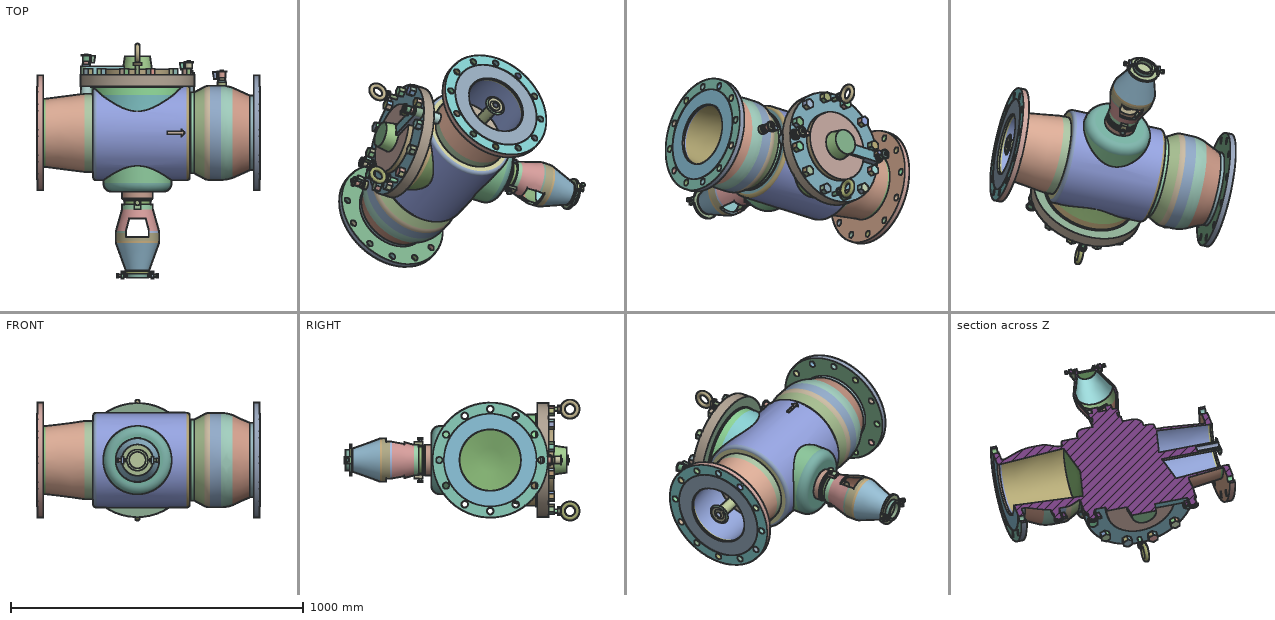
import cadquery as cq
import math


INLET_FACE_X = -344.0
OUTLET_FACE_X = 419.0
FLANGE_RADIUS = 197.0
FLANGE_THICKNESS = 22.0
RAISED_FACE_RADIUS = 158.5
RAISED_FACE_HEIGHT = 2.0
BOLT_CIRCLE_RADIUS = 175.0
FLANGE_HOLE_DIAMETER = 22.0
FLANGE_HOLE_COUNT = 12
INLET_FLANGE_BACK_X = INLET_FACE_X + FLANGE_THICKNESS
OUTLET_FLANGE_BACK_X = OUTLET_FACE_X - FLANGE_THICKNESS

INLET_NECK_RADIUS = 234.0 / 2
INLET_NECK_LENGTH = 8.0
INLET_PIPE_RADIUS = 134.5
INLET_CONE_END_X = -180.0

BODY_RADIUS = 162.5
BODY_START_X = -152.0
BODY_END_X = 179.5
BODY_EDGE_ROUND = 11.0

OUTLET_NECK_RADIUS = 139.0
OUTLET_NECK_START_X = 183.0
OUTLET_NECK_END_X = 195.0
OUTLET_SEAM_RADIUS = 138.0
BULGE_RADIUS = 162.0
BULGE_CONE_END = (229.0, 158.0)
BULGE_FLAT_START_X = 249.0
BULGE_FLAT_END_X = 286.0
BULGE_TAIL_START = (326.0, 154.5)
OUTLET_HUB_RADIUS = 128.0
OUTLET_HUB_START_X = 385.0

BORE_RADIUS = 105.0
BORE_DEPTH = 14.5
BORE_RECESS_RADIUS = 105.5
BORE_RECESS_DEPTH = 7.0
BORE_END_RADIUS = 122.0
DISH_DEPTH = 24.0
CORE_TUBE_RADIUS = 37.0 / 2
CORE_DISC_RADIUS = 35.5
CORE_DISC_FACE_RADIUS = 29.0
CORE_DISC_THICKNESS = 4.0
CORE_SETBACK = 3.0
CORE_HOLE_DIAMETER = 19.0
CORE_HOLE_DEPTH = 80.5

ARROW_TAIL_X = 102.0
ARROW_NECK_X = 150.0
ARROW_TIP_X = 162.5
ARROW_SHAFT_HALF_WIDTH = 5.0
ARROW_HEAD_HALF_WIDTH = 13.0
ARROW_HEIGHT = 2.0

COVER_RADIUS = 195.5
COVER_BOTTOM_Y = 160.0
COVER_TOP_Y = 200.0
GASKET_RADIUS = 159.0
GASKET_THICKNESS = 5.0
COVER_NECK_RADIUS = 157.0
COVER_CONE_TOP_Y = 129.0
COVER_CONE_RADIUS = 145.0
COVER_CONE_BOTTOM_Y = 74.0
COVER_PAD_RADIUS = 121.0
COVER_PAD_TOP_Y = 218.0
HUB_BASE_RADIUS = 50.0
HUB_TOP_RADIUS = 43.5
HUB_TOP_Y = 262.0
RIB_TOP_Y = 228.5
COVER_BOLT_CIRCLE_RADIUS = 174.25
COVER_BOLT_COUNT = 12
NUT_ACROSS_FLATS = 30.0
NUT_HEIGHT = 20.0

EYE_RING_Y = 273.0
EYE_WIRE_DIAMETER = 16.0
EYE_RING_RADIUS = 25.0
EYE_SHANK_DIAMETER = 14.0
EYE_COLLAR_DIAMETER = 28.0
EYE_COLLAR_BOTTOM_Y = 231.0
EYE_COLLAR_THICKNESS = 8.0

PORT_POST_X = 175.5
PORT_POST_RADIUS = 37.0 / 2
OUTLET_PORT_X = 289.0
OUTLET_PORT_BASE_Y = 173.0
OUTLET_PORT_BOSS_RADIUS = 15.0
COVER_PORT_BASE_Y = 205.0
PORT_COLLAR_RADIUS = 14.0
PORT_COLLAR_TOP = 6.5
PORT_NECK_RADIUS = 22.0 / 2
PORT_NECK_TOP = 16.0
PORT_BODY_RADIUS = 25.0 / 2
PORT_BODY_TOP = 35.5
PORT_CAP_RADIUS = 16.0
PORT_CAP_TOP = 38.0
PORT_BUTTON_RADIUS = 10.0 / 2
PORT_HEIGHT = 41.0
TAG_REACH = 31.0
TAG_FOOT_REACH = 27.0
TAG_BOTTOM = 10.5
TAG_GAP_INNER = 16.0
TAG_THICKNESS = 14.0

DRAIN_CAP_RADIUS = 234.0 / 2
DRAIN_CAP_BOTTOM_Y = -202.0
DRAIN_CAP_ROUND = 30.0
DRAIN_PIPE_RADIUS = 53.0
DRAIN_GROOVE_RADIUS = 45.0
DRAIN_PIPE_CHAMFER = 2.5
DRAIN_PIPE_CHAMFER_Y = -223.0
DRAIN_PIPE_END_Y = -227.0
DRAIN_LIP_RADIUS = 47.0
DRAIN_GROOVE_TOP_Y = -232.0
DRAIN_GROOVE_BOTTOM_Y = -245.0
DRAIN_COLLAR_BOTTOM_Y = -261.5
FUNNEL_RADIUS = 74.0
FUNNEL_WIDE_TOP_Y = -336.0
FUNNEL_WIDE_BOTTOM_Y = -377.5
FUNNEL_BAND_RADIUS = 75.0
FUNNEL_BAND_TOP_Y = -342.0
FUNNEL_BAND_BOTTOM_Y = -369.5
FUNNEL_TIP_RADIUS = 40.0
FUNNEL_TIP_Y = -471.0
END_PLATE_RADIUS = 53.5
END_PLATE_TOP_Y = -474.0
END_PLATE_BOTTOM_Y = -481.0
SPOUT_RADIUS = 36.0
SPOUT_BORE_RADIUS = 28.0
SPOUT_BOTTOM_Y = -496.0
SPOUT_FLOOR_Y = -480.0
FUNNEL_WALL = 8.0
FUNNEL_ROOF_Y = -270.0
INNER_TUBE_RADIUS = 36.0
INNER_TUBE_BORE_RADIUS = 13.0
INNER_TUBE_BOTTOM_Y = -291.0

WINDOW_TOP_Y = -294.0
WINDOW_SLOPE_END_Y = -334.0
WINDOW_BOTTOM_Y = -356.0
WINDOW_TOP_HALF_WIDTH = 28.0
WINDOW_BOTTOM_HALF_WIDTH = 39.0

LUG_WIDTH = 23.0
SCREW_DIAMETER = 10.0
SCREW_HEAD_LENGTH = 6.0
UPPER_LUG_OUTER = 63.5
UPPER_LUG_THICKNESS = 13.0
UPPER_LUG_TOP_Y = -230.0
UPPER_LUG_BOTTOM_Y = -261.0
UPPER_SCREW_Y = -239.0
UPPER_SCREW_END = 76.0
UPPER_SCREW_HEAD_DIAMETER = 18.0
LOWER_LUG_OUTER = 55.5
LOWER_LUG_THICKNESS = 8.0
LOWER_LUG_BOTTOM_Y = -499.0
LOWER_SCREW_Y = -488.5
LOWER_SCREW_END = 71.0
LOWER_SCREW_HEAD_DIAMETER = 14.0
LOWER_SCREW_TIP = 42.0


def cylinder_y(radius, bottom_y, top_y, x=0, z=0):
    """Cylinder along Y between two heights."""
    base = cq.Plane(origin=(x, bottom_y, z), xDir=(1, 0, 0), normal=(0, 1, 0))
    return cq.Workplane(base).circle(radius).extrude(top_y - bottom_y)


def turned_y(points):
    """Solid turned about the Y axis from (radius, y) points."""
    return cq.Workplane("XY").polyline(points).close().revolve(360, (0, 0, 0), (0, 1, 0))


def turned_x(points):
    """Solid turned about the X axis from (x, radius) points."""
    return cq.Workplane("XY").polyline(points).close().revolve(360, (0, 0, 0), (1, 0, 0))


def block(x_range, y_range, z_range):
    """Box between two limits along each axis."""
    sizes = [high - low for low, high in (x_range, y_range, z_range)]
    corner = (x_range[0], y_range[0], z_range[0])
    return cq.Workplane("XY").box(*sizes, centered=False).translate(corner)


def main_pipe():
    inlet = turned_x([
        (INLET_FLANGE_BACK_X, 0),
        (INLET_FLANGE_BACK_X, INLET_NECK_RADIUS),
        (INLET_FLANGE_BACK_X + INLET_NECK_LENGTH, INLET_NECK_RADIUS),
        (INLET_CONE_END_X, INLET_PIPE_RADIUS),
        (BODY_START_X, INLET_PIPE_RADIUS),
        (BODY_START_X, 0),
    ])
    body = (
        cq.Workplane("YZ", origin=(BODY_START_X, 0, 0))
        .circle(BODY_RADIUS)
        .extrude(BODY_END_X - BODY_START_X)
        .edges()
        .fillet(BODY_EDGE_ROUND)
    )
    outlet = (
        cq.Workplane("XY")
        .moveTo(BODY_END_X, 0)
        .lineTo(BODY_END_X, OUTLET_SEAM_RADIUS)
        .lineTo(OUTLET_NECK_START_X, OUTLET_SEAM_RADIUS)
        .lineTo(OUTLET_NECK_START_X, OUTLET_NECK_RADIUS)
        .lineTo(OUTLET_NECK_END_X, OUTLET_NECK_RADIUS)
        .lineTo(*BULGE_CONE_END)
        .tangentArcPoint((BULGE_FLAT_START_X, BULGE_RADIUS), relative=False)
        .lineTo(BULGE_FLAT_END_X, BULGE_RADIUS)
        .tangentArcPoint(BULGE_TAIL_START, relative=False)
        .lineTo(OUTLET_HUB_START_X, OUTLET_HUB_RADIUS)
        .lineTo(OUTLET_FLANGE_BACK_X, OUTLET_HUB_RADIUS)
        .lineTo(OUTLET_FLANGE_BACK_X, 0)
        .close()
        .revolve(360, (0, 0, 0), (1, 0, 0))
    )
    inlet_flange = pipe_flange(INLET_FACE_X, 1)
    outlet_flange = pipe_flange(OUTLET_FACE_X, -1)
    return inlet.union(body).union(outlet).union(inlet_flange).union(outlet_flange)


def pipe_flange(face_x, inward):
    """Drilled flange with a raised face; inward is the X sign that leads into the pipe."""
    rim_x = face_x + inward * RAISED_FACE_HEIGHT
    back_x = face_x + inward * FLANGE_THICKNESS
    disc = turned_x([
        (face_x, 0),
        (face_x, RAISED_FACE_RADIUS),
        (rim_x, RAISED_FACE_RADIUS),
        (rim_x, FLANGE_RADIUS),
        (back_x, FLANGE_RADIUS),
        (back_x, 0),
    ])
    holes = (
        cq.Workplane("YZ", origin=(face_x, 0, 0))
        .polarArray(BOLT_CIRCLE_RADIUS, 0, 360, FLANGE_HOLE_COUNT)
        .circle(FLANGE_HOLE_DIAMETER / 2)
        .extrude(inward * FLANGE_THICKNESS)
    )
    return disc.cut(holes)


def pipe_bore(face_x, inward, end_x):
    """Bore that widens inside the flange and ends at a dished wall in the body."""
    widening_x = face_x + inward * BORE_DEPTH
    recess_x = face_x + inward * BORE_RECESS_DEPTH
    return turned_x([
        (face_x, 0),
        (face_x, BORE_RECESS_RADIUS),
        (recess_x, BORE_RECESS_RADIUS),
        (recess_x, BORE_RADIUS),
        (widening_x, BORE_RADIUS),
        (end_x, BORE_END_RADIUS),
        (end_x + inward * DISH_DEPTH, 0),
    ])


def filter_core():
    """Tube on the inlet axis that carries a chamfered disc with a centre hole."""
    front_x = INLET_FACE_X + CORE_SETBACK
    disc_back_x = front_x + CORE_DISC_THICKNESS
    tube_end_x = BODY_START_X + DISH_DEPTH + 8
    core = turned_x([
        (front_x, 0),
        (front_x, CORE_DISC_FACE_RADIUS),
        (disc_back_x, CORE_DISC_RADIUS),
        (disc_back_x, CORE_TUBE_RADIUS),
        (tube_end_x, CORE_TUBE_RADIUS),
        (tube_end_x, 0),
    ])
    return core.faces("<X").workplane().hole(CORE_HOLE_DIAMETER, CORE_HOLE_DEPTH)


def flow_arrow():
    half_outline = [
        (ARROW_TAIL_X, ARROW_SHAFT_HALF_WIDTH),
        (ARROW_NECK_X, ARROW_SHAFT_HALF_WIDTH),
        (ARROW_NECK_X, ARROW_HEAD_HALF_WIDTH),
    ]
    mirrored = [(x, -y) for x, y in reversed(half_outline)]
    outline = half_outline + [(ARROW_TIP_X, 0)] + mirrored
    embed = 4.0
    plane = cq.Workplane("XY", origin=(0, 0, BODY_RADIUS - embed))
    return plane.polyline(outline).close().extrude(embed + ARROW_HEIGHT)


def cover():
    gasket_y = COVER_BOTTOM_Y - GASKET_THICKNESS
    solid = turned_y([
        (0, 0),
        (COVER_CONE_RADIUS, 0),
        (COVER_CONE_RADIUS, COVER_CONE_BOTTOM_Y),
        (COVER_NECK_RADIUS, COVER_CONE_TOP_Y),
        (COVER_NECK_RADIUS, gasket_y),
        (GASKET_RADIUS, gasket_y),
        (GASKET_RADIUS, COVER_BOTTOM_Y),
        (COVER_RADIUS, COVER_BOTTOM_Y),
        (COVER_RADIUS, COVER_TOP_Y),
        (0, COVER_TOP_Y),
    ])
    pad = cylinder_y(COVER_PAD_RADIUS, COVER_TOP_Y, COVER_PAD_TOP_Y)
    hub = turned_y([
        (0, COVER_TOP_Y),
        (HUB_BASE_RADIUS, COVER_TOP_Y),
        (HUB_BASE_RADIUS, COVER_PAD_TOP_Y),
        (HUB_TOP_RADIUS, HUB_TOP_Y),
        (0, HUB_TOP_Y),
    ])
    rib = block((-PORT_POST_X, 0), (COVER_TOP_Y, RIB_TOP_Y), (-PORT_POST_RADIUS, PORT_POST_RADIUS))
    inlet_post = cylinder_y(PORT_POST_RADIUS, 0, RIB_TOP_Y, x=-PORT_POST_X)
    outlet_post = cylinder_y(PORT_POST_RADIUS, 0, COVER_PORT_BASE_Y, x=PORT_POST_X)
    solid = solid.union(pad).union(hub)
    return solid.union(rib).union(inlet_post).union(outlet_post).union(cover_nuts())


def cover_nuts():
    nuts = cq.Workplane("XY")
    corner_diameter = NUT_ACROSS_FLATS / math.cos(math.pi / 6)
    pitch = 2 * math.pi / COVER_BOLT_COUNT
    for index in range(COVER_BOLT_COUNT):
        angle = (index + 0.5) * pitch
        x = COVER_BOLT_CIRCLE_RADIUS * math.cos(angle)
        z = COVER_BOLT_CIRCLE_RADIUS * math.sin(angle)
        seat = cq.Plane(origin=(x, COVER_TOP_Y, z), xDir=(0, 0, 1), normal=(0, 1, 0))
        nuts = nuts.union(cq.Workplane(seat).polygon(6, corner_diameter).extrude(NUT_HEIGHT))
    return nuts


def eye_bolt(z):
    collar_top_y = EYE_COLLAR_BOTTOM_Y + EYE_COLLAR_THICKNESS
    ring_bottom_y = EYE_RING_Y - EYE_RING_RADIUS
    collar = cylinder_y(EYE_COLLAR_DIAMETER / 2, EYE_COLLAR_BOTTOM_Y, collar_top_y, z=z)
    shank = cylinder_y(EYE_SHANK_DIAMETER / 2, COVER_TOP_Y, ring_bottom_y, z=z)
    ring = cq.Workplane(
        cq.Solid.makeTorus(EYE_RING_RADIUS, EYE_WIRE_DIAMETER / 2, cq.Vector(0, EYE_RING_Y, z), cq.Vector(1, 0, 0))
    )
    return shank.union(collar).union(ring)


def measuring_port(x, base_y, tag_side):
    """Plug with a capped body and a tag that hangs on the given X side."""
    plug = turned_y([
        (0, 0),
        (PORT_COLLAR_RADIUS, 0),
        (PORT_COLLAR_RADIUS, PORT_COLLAR_TOP),
        (PORT_NECK_RADIUS, PORT_COLLAR_TOP),
        (PORT_NECK_RADIUS, PORT_NECK_TOP),
        (PORT_BODY_RADIUS, PORT_NECK_TOP),
        (PORT_BODY_RADIUS, PORT_BODY_TOP),
        (PORT_CAP_RADIUS, PORT_BODY_TOP),
        (PORT_CAP_RADIUS, PORT_CAP_TOP),
        (PORT_BUTTON_RADIUS, PORT_CAP_TOP),
        (PORT_BUTTON_RADIUS, PORT_HEIGHT),
        (0, PORT_HEIGHT),
    ])
    tag = (
        cq.Workplane("XY")
        .polyline([
            (0, TAG_BOTTOM),
            (tag_side * TAG_FOOT_REACH, TAG_BOTTOM),
            (tag_side * TAG_REACH, PORT_BODY_TOP),
            (tag_side * TAG_GAP_INNER, PORT_BODY_TOP),
            (tag_side * TAG_GAP_INNER, PORT_NECK_TOP),
            (0, PORT_NECK_TOP),
        ])
        .close()
        .extrude(TAG_THICKNESS / 2, both=True)
    )
    return plug.union(tag).translate((x, base_y, 0))


def drain():
    cap = cylinder_y(DRAIN_CAP_RADIUS, DRAIN_CAP_BOTTOM_Y, 0).faces("<Y").edges().fillet(DRAIN_CAP_ROUND)
    outlet = turned_y([
        (0, DRAIN_CAP_BOTTOM_Y + 8),
        (DRAIN_PIPE_RADIUS, DRAIN_CAP_BOTTOM_Y + 8),
        (DRAIN_PIPE_RADIUS, DRAIN_PIPE_CHAMFER_Y),
        (DRAIN_PIPE_RADIUS - DRAIN_PIPE_CHAMFER, DRAIN_PIPE_END_Y),
        (DRAIN_LIP_RADIUS, DRAIN_PIPE_END_Y),
        (DRAIN_LIP_RADIUS, DRAIN_GROOVE_TOP_Y),
        (DRAIN_GROOVE_RADIUS, DRAIN_GROOVE_TOP_Y),
        (DRAIN_GROOVE_RADIUS, DRAIN_GROOVE_BOTTOM_Y),
        (DRAIN_PIPE_RADIUS, DRAIN_GROOVE_BOTTOM_Y),
        (DRAIN_PIPE_RADIUS, DRAIN_COLLAR_BOTTOM_Y),
        (FUNNEL_RADIUS, FUNNEL_WIDE_TOP_Y),
        (FUNNEL_BAND_RADIUS, FUNNEL_BAND_TOP_Y),
        (FUNNEL_BAND_RADIUS, FUNNEL_BAND_BOTTOM_Y),
        (FUNNEL_RADIUS, FUNNEL_WIDE_BOTTOM_Y),
        (FUNNEL_TIP_RADIUS, FUNNEL_TIP_Y),
        (FUNNEL_TIP_RADIUS, END_PLATE_TOP_Y),
        (END_PLATE_RADIUS, END_PLATE_TOP_Y),
        (END_PLATE_RADIUS, END_PLATE_BOTTOM_Y),
        (SPOUT_RADIUS, END_PLATE_BOTTOM_Y),
        (SPOUT_RADIUS, SPOUT_BOTTOM_Y),
        (0, SPOUT_BOTTOM_Y),
    ])
    spout_bore = cylinder_y(SPOUT_BORE_RADIUS, SPOUT_BOTTOM_Y, SPOUT_FLOOR_Y)
    outlet = outlet.cut(drain_cavity()).cut(drain_windows()).cut(spout_bore)
    return cap.union(outlet)


def drain_cavity():
    """Hollow of the discharge funnel around the short tube that hangs from its roof."""
    slope = (FUNNEL_RADIUS - DRAIN_PIPE_RADIUS) / (DRAIN_COLLAR_BOTTOM_Y - FUNNEL_WIDE_TOP_Y)
    roof_radius = DRAIN_PIPE_RADIUS + slope * (DRAIN_COLLAR_BOTTOM_Y - FUNNEL_ROOF_Y) - FUNNEL_WALL
    hollow = turned_y([
        (0, FUNNEL_ROOF_Y),
        (roof_radius, FUNNEL_ROOF_Y),
        (FUNNEL_RADIUS - FUNNEL_WALL, FUNNEL_WIDE_TOP_Y),
        (FUNNEL_RADIUS - FUNNEL_WALL, FUNNEL_WIDE_BOTTOM_Y),
        (FUNNEL_TIP_RADIUS - FUNNEL_WALL, FUNNEL_TIP_Y),
        (0, FUNNEL_TIP_Y),
    ])
    tube = cylinder_y(INNER_TUBE_RADIUS, INNER_TUBE_BOTTOM_Y, FUNNEL_ROOF_Y)
    tube_bore = cylinder_y(INNER_TUBE_BORE_RADIUS, INNER_TUBE_BOTTOM_Y, FUNNEL_ROOF_Y)
    return hollow.cut(tube).union(tube_bore)


def drain_windows():
    """Opening through both Z sides of the discharge funnel."""
    outline = [
        (WINDOW_TOP_HALF_WIDTH, WINDOW_TOP_Y),
        (WINDOW_BOTTOM_HALF_WIDTH, WINDOW_SLOPE_END_Y),
        (WINDOW_BOTTOM_HALF_WIDTH, WINDOW_BOTTOM_Y),
    ]
    outline += [(-x, y) for x, y in reversed(outline)]
    return cq.Workplane("XY").polyline(outline).close().extrude(FUNNEL_RADIUS + 8, both=True)


def radial_screw(y, start, end, head_diameter):
    """Screw along +X with its head at the outer end."""
    shank = cq.Workplane("YZ", origin=(start, y, 0)).circle(SCREW_DIAMETER / 2).extrude(end - start)
    head_start = end - SCREW_HEAD_LENGTH
    head = cq.Workplane("YZ", origin=(head_start, y, 0)).circle(head_diameter / 2).extrude(SCREW_HEAD_LENGTH)
    return shank.union(head)


def upper_clamp():
    """Lug and screw that bridge the drain groove, on the +X side."""
    lug = block(
        (UPPER_LUG_OUTER - UPPER_LUG_THICKNESS, UPPER_LUG_OUTER),
        (UPPER_LUG_BOTTOM_Y, UPPER_LUG_TOP_Y),
        (-LUG_WIDTH / 2, LUG_WIDTH / 2),
    )
    screw = radial_screw(UPPER_SCREW_Y, DRAIN_GROOVE_RADIUS - 8, UPPER_SCREW_END, UPPER_SCREW_HEAD_DIAMETER)
    return lug.union(screw)


def lower_clamp():
    """Lug and screw under the end plate, on the +X side."""
    lug = block(
        (LOWER_LUG_OUTER - LOWER_LUG_THICKNESS, LOWER_LUG_OUTER),
        (LOWER_LUG_BOTTOM_Y, END_PLATE_TOP_Y),
        (-LUG_WIDTH / 2, LUG_WIDTH / 2),
    )
    screw = radial_screw(LOWER_SCREW_Y, LOWER_SCREW_TIP, LOWER_SCREW_END, LOWER_SCREW_HEAD_DIAMETER)
    return lug.union(screw)


result = main_pipe().union(cover()).union(drain()).union(flow_arrow())

result = result.cut(pipe_bore(INLET_FACE_X, 1, BODY_START_X))
result = result.cut(pipe_bore(OUTLET_FACE_X, -1, BODY_END_X))
result = result.union(filter_core())

for side in (-1, 1):
    result = result.union(eye_bolt(side * COVER_BOLT_CIRCLE_RADIUS))

port_boss = cylinder_y(OUTLET_PORT_BOSS_RADIUS, BULGE_RADIUS - 8, OUTLET_PORT_BASE_Y, x=OUTLET_PORT_X)
result = result.union(port_boss)
result = result.union(measuring_port(-PORT_POST_X, RIB_TOP_Y, 1))
result = result.union(measuring_port(PORT_POST_X, COVER_PORT_BASE_Y, -1))
result = result.union(measuring_port(OUTLET_PORT_X, OUTLET_PORT_BASE_Y, -1))

DRAIN_AXIS = ((0, 0, 0), (0, 1, 0))
for angle in (90, -90):
    result = result.union(upper_clamp().rotate(*DRAIN_AXIS, angle))
for angle in (0, 180):
    result = result.union(lower_clamp().rotate(*DRAIN_AXIS, angle))